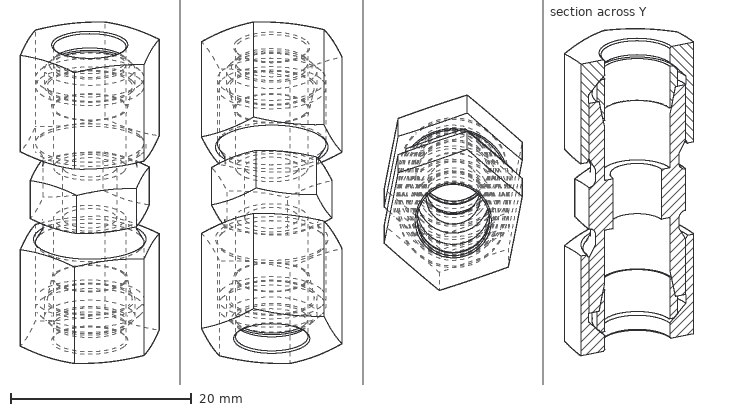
import cadquery as cq
import math

LENGTH = 35.0
HALF_LENGTH = LENGTH / 2

NUT_LENGTH = 12.0
NUT_FLATS = 14.0
NUT_BORE = 8.0
NUT_BORE_CHAMFER = 0.2
NUT_LIP_DEPTH = 1.9
NUT_MOUTH = 12.45
NUT_FACE_Z = HALF_LENGTH - NUT_LENGTH
NUT_LIP_Z = HALF_LENGTH - NUT_LIP_DEPTH

HEX_FLATS = 12.0
HEX_HEIGHT = 5.0
THREAD_DIAMETER = 12.0
GROOVE_DIAMETER = 10.4
GROOVE_END_Z = 4.27
THREAD_CHAMFER_ANGLE = 30.0
BODY_END_Z = 12.6
THROUGH_BORE = 6.0
TUBE_BORE = 8.0
TUBE_STOP_Z = 3.0
CONE_MOUTH = 9.4
CONE_HALF_ANGLE = 12.0

RING_COLLAR = 10.0
RING_TIP_WALL = 0.18
RING_LIP_GAP = 0.45

HEX_BEVEL_ANGLE = 15.0

HEX_CORNER_FACTOR = 2 / math.sqrt(3)
THREAD_CHAMFER_SLOPE = math.tan(math.radians(THREAD_CHAMFER_ANGLE))
CONE_SLOPE = math.tan(math.radians(CONE_HALF_ANGLE))


def revolve(points):
    """Solid of revolution about Z from (radius, z) points."""
    return cq.Workplane("XZ").polyline(points).close().revolve(360, (0, 0), (0, 1))


def chamfered_hexagon(flats, z_low, z_high):
    """Hexagonal prism with flats on +X and -X, its corners bevelled at both ends."""
    corners = flats * HEX_CORNER_FACTOR
    prism = (
        cq.Workplane("XY")
        .workplane(offset=z_low)
        .polygon(6, corners)
        .extrude(z_high - z_low)
        .rotate((0, 0, 0), (0, 0, 1), 30)
    )
    r_flat = flats / 2
    r_outer = flats
    drop = (r_outer - r_flat) * math.tan(math.radians(HEX_BEVEL_ANGLE))
    bevel = revolve(
        [
            (0, z_low),
            (r_flat, z_low),
            (r_outer, z_low + drop),
            (r_outer, z_high - drop),
            (r_flat, z_high),
            (0, z_high),
        ]
    )
    return prism.intersect(bevel)


def make_nut():
    """Upper nut: hexagon with a thread bore that narrows at 45 degrees to the tube entry."""
    r_bore = NUT_BORE / 2
    r_thread = THREAD_DIAMETER / 2
    r_mouth = NUT_MOUTH / 2
    cavity = revolve(
        [
            (0, NUT_FACE_Z),
            (r_mouth, NUT_FACE_Z),
            (r_thread, NUT_FACE_Z + (r_mouth - r_thread) / THREAD_CHAMFER_SLOPE),
            (r_thread, NUT_LIP_Z - (r_thread - r_bore)),
            (r_bore, NUT_LIP_Z),
            (r_bore, HALF_LENGTH - NUT_BORE_CHAMFER),
            (r_bore + NUT_BORE_CHAMFER, HALF_LENGTH),
            (0, HALF_LENGTH),
        ]
    )
    return chamfered_hexagon(NUT_FLATS, NUT_FACE_Z, HALF_LENGTH).cut(cavity)


def make_ring():
    """Upper cutting ring: 45 degree back against the nut, collar on the body, tapered nose."""
    r_inner = TUBE_BORE / 2
    r_collar = RING_COLLAR / 2
    r_shoulder = CONE_MOUTH / 2
    r_tip = r_inner + RING_TIP_WALL
    r_top = NUT_BORE / 2 + RING_LIP_GAP
    z_top = NUT_LIP_Z - RING_LIP_GAP
    z_tip = BODY_END_Z - (r_shoulder - r_tip) / CONE_SLOPE
    return revolve(
        [
            (r_inner, z_top),
            (r_top, z_top),
            (r_collar, z_top - (r_collar - r_top)),
            (r_collar, BODY_END_Z),
            (r_shoulder, BODY_END_Z),
            (r_tip, z_tip),
            (r_inner, z_tip),
        ]
    )


def make_threaded_end():
    """Turned outside of the upper end: groove with a fillet on each side, then the chamfered thread."""
    r_groove = GROOVE_DIAMETER / 2
    r_thread = THREAD_DIAMETER / 2
    fillet = HEX_FLATS / 2 - r_groove
    r_center = r_groove + fillet
    z_hex = HEX_HEIGHT / 2
    z_groove_start = z_hex + fillet

    def arc_offset(degrees):
        """Radius and height above the groove edge where a fillet has turned by the given angle."""
        angle = math.radians(degrees)
        return r_center - fillet * math.cos(angle), fillet * math.sin(angle)

    r_hex_mid, hex_mid_drop = arc_offset(45)
    r_thread_mid, thread_mid_rise = arc_offset(THREAD_CHAMFER_ANGLE / 2)
    r_chamfer, chamfer_rise = arc_offset(THREAD_CHAMFER_ANGLE)
    z_chamfer = GROOVE_END_Z + chamfer_rise
    z_thread = z_chamfer + (r_thread - r_chamfer) / THREAD_CHAMFER_SLOPE
    return (
        cq.Workplane("XZ")
        .lineTo(r_center, 0)
        .lineTo(r_center, z_hex)
        .threePointArc((r_hex_mid, z_groove_start - hex_mid_drop), (r_groove, z_groove_start))
        .lineTo(r_groove, GROOVE_END_Z)
        .threePointArc((r_thread_mid, GROOVE_END_Z + thread_mid_rise), (r_chamfer, z_chamfer))
        .lineTo(r_thread, z_thread)
        .lineTo(r_thread, BODY_END_Z)
        .lineTo(0, BODY_END_Z)
        .close()
        .revolve(360, (0, 0), (0, 1))
    )


def make_tube_socket():
    """Space in the upper end of the body: ring cone, then tube bore down to the stop."""
    r_mouth = CONE_MOUTH / 2
    r_tube = TUBE_BORE / 2
    return revolve(
        [
            (0, TUBE_STOP_Z),
            (r_tube, TUBE_STOP_Z),
            (r_tube, BODY_END_Z - (r_mouth - r_tube) / CONE_SLOPE),
            (r_mouth, BODY_END_Z),
            (0, BODY_END_Z),
        ]
    )


def make_body():
    """Hexagon with two threaded ends, each with a tube socket, and a through bore."""
    body = chamfered_hexagon(HEX_FLATS, -HEX_HEIGHT / 2, HEX_HEIGHT / 2)
    end = make_threaded_end()
    socket = make_tube_socket()
    body = body.union(end).union(end.mirror("XY"))
    body = body.cut(socket).cut(socket.mirror("XY"))
    bore = cq.Workplane("XY").circle(THROUGH_BORE / 2).extrude(LENGTH, both=True)
    return body.cut(bore)


def both_ends(part):
    """The upper part and its mirrored copy at the lower end, as separate solids."""
    copies = []
    for placed in (part, part.mirror("XY")):
        copies.append(placed.val())
    return copies


body = make_body()
nuts = both_ends(make_nut())
cutting_rings = both_ends(make_ring())

result = cq.Compound.makeCompound([body.val(), *nuts, *cutting_rings])